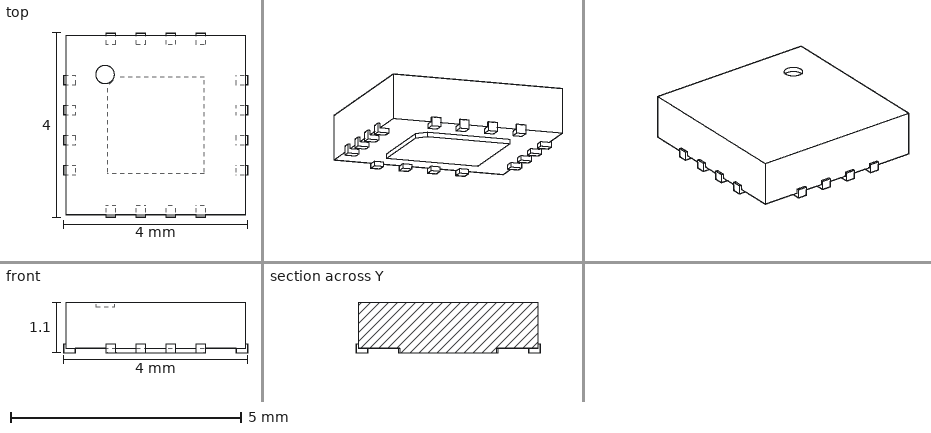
import cadquery as cq

overall_span = 4.0
overall_height = 1.1
standoff = 0.1
body_side = 3.9
body_height = overall_height - standoff

leads_per_side = 4
lead_pitch = 0.65
lead_width = 0.21
lead_length = 0.25
lead_height = 0.2

pad_side = 2.1
pad_corner_cut = 0.2

dimple_diameter = 0.4
dimple_depth = 0.1
dimple_x = -1.1
dimple_y = 1.1


def make_body():
    return (
        cq.Workplane("XY")
        .workplane(offset=standoff)
        .rect(body_side, body_side)
        .extrude(body_height)
    )


def make_pad():
    pad = cq.Workplane("XY").rect(pad_side, pad_side).extrude(standoff)
    return pad.edges("|Z and <X and >Y").chamfer(pad_corner_cut)


def make_lead_row():
    """Row of leads along the -Y side, standing on the base plane."""
    row_y = (lead_length - overall_span) / 2
    return (
        cq.Workplane("XY")
        .center(0, row_y)
        .rarray(lead_pitch, 0.04, leads_per_side, 1)
        .rect(lead_width, lead_length)
        .extrude(lead_height)
    )


def make_dimple():
    return (
        cq.Workplane("XY")
        .workplane(offset=overall_height - dimple_depth)
        .center(dimple_x, dimple_y)
        .circle(dimple_diameter / 2)
        .extrude(dimple_depth)
    )


result = make_body().union(make_pad())
for side_angle in (0, 90, 180, 270):
    result = result.union(make_lead_row().rotate((0, 0, 0), (0, 0, 1), side_angle))
result = result.cut(make_dimple())